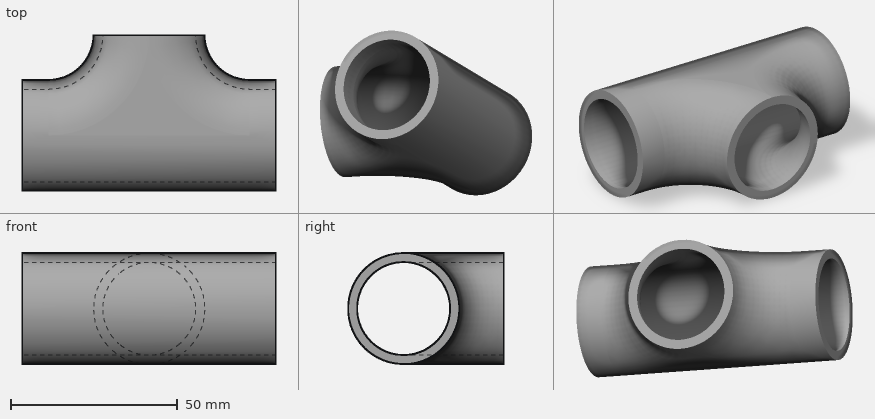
import cadquery as cq

PIPE_DIAMETER = 33.4
WALL = 2.77
RUN_LENGTH = 76.2
BRANCH_HEIGHT = 30.1

OUTER_RADIUS = PIPE_DIAMETER / 2
BORE_RADIUS = OUTER_RADIUS - WALL

BEND_RADIUS = BRANCH_HEIGHT


def run_cylinder(radius):
    """Straight run along X, centred on the origin."""
    return cq.Workplane("YZ").circle(radius).extrude(RUN_LENGTH / 2, both=True)


def right_elbow(radius):
    """Quarter torus from the branch end (+Y) down to the run axis (+X)."""
    return (
        cq.Workplane("XZ", origin=(0, BRANCH_HEIGHT, 0))
        .circle(radius)
        .revolve(90, (BEND_RADIUS, 0, 0), (BEND_RADIUS, 1, 0))
    )


def crotch_web(radius):
    """Flat-sided web filling the space between the elbow centrelines and the run axis."""
    diagonal = BEND_RADIUS * 0.5**0.5
    arc_x = BEND_RADIUS - diagonal
    arc_y = BRANCH_HEIGHT - diagonal
    return (
        cq.Workplane("XY")
        .moveTo(-BEND_RADIUS, 0)
        .threePointArc((-arc_x, arc_y), (0, BRANCH_HEIGHT))
        .threePointArc((arc_x, arc_y), (BEND_RADIUS, 0))
        .close()
        .extrude(radius, both=True)
    )


def tee_body(radius):
    """Solid tee of the given pipe radius, used for both the outside and the bore."""
    elbow = right_elbow(radius)
    return (
        run_cylinder(radius)
        .union(crotch_web(radius))
        .union(elbow)
        .union(elbow.mirror("YZ"))
    )


result = tee_body(OUTER_RADIUS).cut(tee_body(BORE_RADIUS))